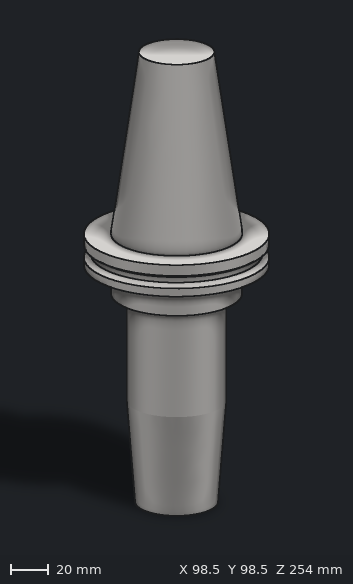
import cadquery as cq

total_height = 254.0
nose_top = 57.5
shank_top = 117.5
flange_bottom = 133.5
flange_top = 151.5
taper_bottom = 152.5

nose_tip_diameter = 44.2
shank_diameter = 53.0
collar_diameter = 69.8
flange_diameter = 98.5
groove_floor_diameter = 91.5

taper_rate = 7 / 24
taper_tip_diameter = collar_diameter - taper_rate * (total_height - taper_bottom)

groove_bottom = 138.2
groove_floor_bottom = 140.2
groove_floor_top = 143.3
groove_top = 145.3

profile = [
    (0, 0),
    (nose_tip_diameter, 0),
    (shank_diameter, nose_top),
    (shank_diameter, shank_top),
    (collar_diameter, shank_top),
    (collar_diameter, flange_bottom),
    (flange_diameter, flange_bottom),
    (flange_diameter, groove_bottom),
    (groove_floor_diameter, groove_floor_bottom),
    (groove_floor_diameter, groove_floor_top),
    (flange_diameter, groove_top),
    (flange_diameter, flange_top),
    (collar_diameter, flange_top),
    (collar_diameter, taper_bottom),
    (taper_tip_diameter, total_height),
    (0, total_height),
]

result = (
    cq.Workplane("XZ")
    .polyline([(diameter / 2, height) for diameter, height in profile])
    .close()
    .revolve(360, (0, 0, 0), (0, 1, 0))
)